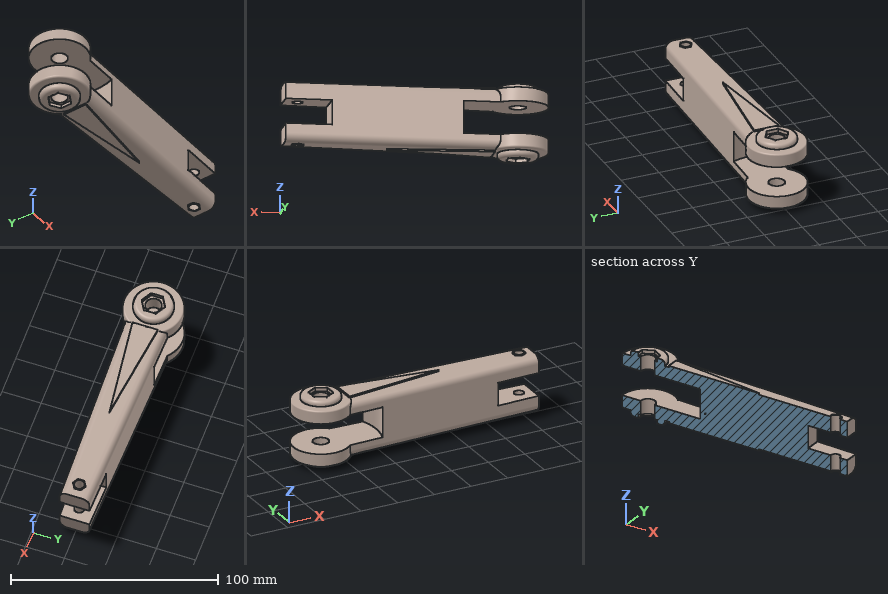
import cadquery as cq
import math

overall_length = 130.0
overall_height = 36.0
eye_radius = 15.0
body_height = 30.0
half_body = body_height / 2
arm_end = overall_length - eye_radius
eye_edge_fillet = 1.0

arm_half_width_at_eye = 11.0
arm_half_width_at_end = 7.7
arm_edge_fillet = 4.0

eye_fork_gap = 16.0
eye_fork_radius = 30.0
end_fork_gap = 12.1
end_fork_depth = 22.6

boss_diameter = 20.0
boss_height = (overall_height - body_height) / 2
boss_fillet = 2.1
eye_bore = 8.0
eye_hex_flats = 10.4
eye_hex_depth = 2.0

panel_start = 12.2
panel_tip = 64.2
panel_half_width = 6.5
panel_height = 0.8

pin_x = 108.0
pin_bore = 5.1
pin_hex_flats = 5.6
pin_rim_height = 0.4


def hexagon(flats, base_z, height, x=0):
    """Hexagonal prism with two corners along Y."""
    corner_diameter = flats / math.cos(math.pi / 6)
    prism = cq.Workplane("XY").polygon(6, corner_diameter).extrude(height)
    return prism.rotate((0, 0, 0), (0, 0, 1), 30).translate((x, 0, base_z))


def both_sides(feature):
    """Feature of the top face together with its mirror image below."""
    return feature.union(feature.mirror("XY"))


def make_arm():
    outline = [
        (0, -arm_half_width_at_eye),
        (arm_end, -arm_half_width_at_end),
        (arm_end, arm_half_width_at_end),
        (0, arm_half_width_at_eye),
    ]
    arm = cq.Workplane("XY").polyline(outline).close().extrude(half_body, both=True)
    long_edges = arm.faces("<Z or >Z").edges("not(<X or >X)")
    return long_edges.fillet(arm_edge_fillet)


def make_eye():
    eye = cq.Workplane("XY").circle(eye_radius).extrude(half_body, both=True)
    return eye.faces("<Z or >Z").edges().fillet(eye_edge_fillet)


def make_boss():
    boss = cq.Workplane("XY", origin=(0, 0, half_body)).circle(boss_diameter / 2).extrude(boss_height)
    return boss.faces(">Z").edges().fillet(boss_fillet)


def make_panel():
    outline = [(panel_start, -panel_half_width), (panel_tip, 0), (panel_start, panel_half_width)]
    base = half_body - panel_height
    return cq.Workplane("XY", origin=(0, 0, base)).polyline(outline).close().extrude(2 * panel_height)


def bore(diameter, x=0):
    return cq.Workplane("XY").center(x, 0).circle(diameter / 2).extrude(overall_height, both=True)


result = make_arm().union(make_eye())
pin_rim = hexagon(pin_hex_flats, half_body, pin_rim_height, pin_x)
for raised in (make_boss(), make_panel(), pin_rim):
    result = result.union(both_sides(raised))

eye_fork = cq.Workplane("XY").circle(eye_fork_radius).extrude(eye_fork_gap / 2, both=True)
end_fork = cq.Workplane("XY").box(2 * end_fork_depth, 2 * eye_radius, end_fork_gap)
result = result.cut(eye_fork).cut(end_fork.translate((arm_end, 0, 0)))

eye_hex = hexagon(eye_hex_flats, overall_height / 2 - eye_hex_depth, eye_hex_depth)
result = result.cut(bore(eye_bore)).cut(bore(pin_bore, pin_x)).cut(both_sides(eye_hex))